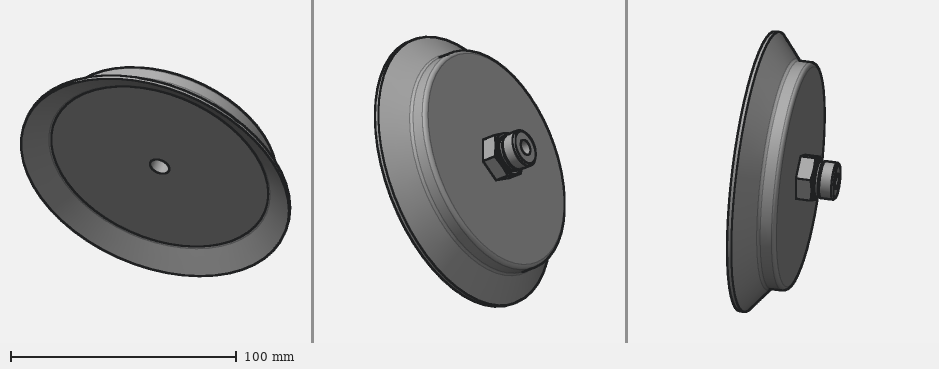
import cadquery as cq
import math


lip_radius = 62.5
lip_height = 2.0
body_radius = 51.0
body_top = 19.5
body_fillet = 1.9
cone_angle = 50.0
cone_height = (lip_radius - body_radius) / math.tan(math.radians(cone_angle))
cone_top = lip_height + cone_height

recess_radius = 51.6
floor_radius = 50.6
recess_depth = 6.8
floor_step = 0.4

hex_flats = 19.0
hex_corner_radius = hex_flats / math.sqrt(3)
hex_top = 26.5
hex_chamfer_angle = 15.0
hex_chamfer_height = (hex_corner_radius - hex_flats / 2) * math.tan(math.radians(hex_chamfer_angle))
washer_face_top = 27.0

total_height = 36.0
thread_radius = 16.6 / 2
thread_bottom = 29.8
thread_chamfer = 0.9
neck_radius = 7.8
neck_top = 28.9
collar_radius = 8.1
collar_top = 27.6

bore_diameter = 7.0
entry_diameter = 9.0
entry_end = body_top


def revolve_profile(points):
    """Revolve a closed (radius, Y) outline around the Y axis."""
    return cq.Workplane("XY").polyline(points).close().revolve(360, (0, 0, 0), (0, 1, 0))


def cylinder(diameter, start, end):
    """Cylinder on the Y axis between two heights."""
    return cq.Workplane("XZ", origin=(0, start, 0)).circle(diameter / 2).extrude(start - end)


def make_cup():
    outside = (
        revolve_profile([
            (0, 0),
            (lip_radius, 0),
            (lip_radius, lip_height),
            (body_radius, cone_top),
            (body_radius, body_top),
            (0, body_top),
        ])
        .edges(cq.selectors.BoxSelector(
            (-lip_radius, cone_top - lip_height, -lip_radius),
            (lip_radius, body_top + lip_height, lip_radius),
        ))
        .edges("%CIRCLE")
        .fillet(body_fillet)
    )
    recess = revolve_profile([
        (0, 0),
        (lip_radius, 0),
        (recess_radius, recess_depth - floor_step),
        (floor_radius, recess_depth),
        (0, recess_depth),
    ])
    return outside.cut(recess)


def make_nut():
    prism = (
        cq.Workplane("XZ", origin=(0, body_top, 0))
        .transformed(rotate=(0, 0, 90))
        .polygon(6, 2 * hex_corner_radius)
        .extrude(body_top - hex_top)
    )
    envelope = revolve_profile([
        (0, body_top),
        (hex_corner_radius, body_top),
        (hex_corner_radius, hex_top - hex_chamfer_height),
        (hex_flats / 2, hex_top),
        (0, hex_top),
    ])
    washer_face = cylinder(hex_flats, hex_top, washer_face_top)
    return prism.intersect(envelope).union(washer_face)


def make_spigot():
    flare_height = neck_top - collar_top
    flare_width = collar_radius - neck_radius
    flare_radius = (flare_height**2 + flare_width**2) / (2 * flare_width)
    half_angle = math.asin(flare_height / flare_radius) / 2
    flare_middle = (
        neck_radius + flare_radius * (1 - math.cos(half_angle)),
        neck_top - flare_radius * math.sin(half_angle),
    )
    return (
        cq.Workplane("XY")
        .moveTo(0, washer_face_top)
        .lineTo(collar_radius, washer_face_top)
        .lineTo(collar_radius, collar_top)
        .threePointArc(flare_middle, (neck_radius, neck_top))
        .lineTo(thread_radius, thread_bottom)
        .lineTo(thread_radius, total_height - thread_chamfer)
        .lineTo(thread_radius - thread_chamfer, total_height)
        .lineTo(0, total_height)
        .close()
        .revolve(360, (0, 0, 0), (0, 1, 0))
    )


bore = cylinder(bore_diameter, 0, total_height)
entry_bore = cylinder(entry_diameter, 0, entry_end)

result = make_cup().union(make_nut()).union(make_spigot()).cut(bore).cut(entry_bore)